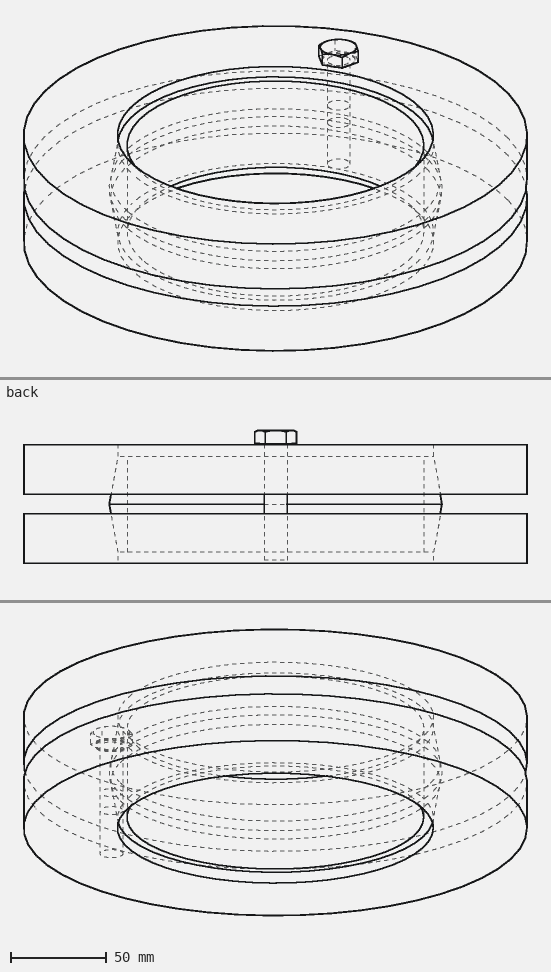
import cadquery as cq
import math


flange_diameter = 263.0
flange_thickness = 26.0
flange_gap = 10.0
flange_mouth_diameter = 165.0

ring_bore_diameter = 155.0
ring_recess = 6.0
ring_middle_diameter = 174.0

bolt_circle_radius = 96.0
shank_diameter = 12.0
shank_length = 60.0
head_height = 7.5
head_across_flats = 19.0
washer_face_diameter = 17.2
washer_face_height = 0.6
head_chamfer_angle = 30.0
head_top_diameter = head_across_flats

upper_flange_bottom = flange_thickness + flange_gap
stack_height = upper_flange_bottom + flange_thickness
ring_middle = stack_height / 2
ring_bottom = ring_recess
ring_top = stack_height - ring_recess
head_across_corners = head_across_flats / math.cos(math.radians(30))


def disc(diameter, height, bottom):
    """Upright cylinder on the ring axis."""
    return cq.Workplane("XY").workplane(offset=bottom).circle(diameter / 2).extrude(height)


def double_cone():
    """Solid double taper: widest at mid-height and as wide as the flange mouths at both ends."""
    mouth_radius = flange_mouth_diameter / 2
    profile = [
        (0, ring_bottom),
        (mouth_radius, ring_bottom),
        (ring_middle_diameter / 2, ring_middle),
        (mouth_radius, ring_top),
        (0, ring_top),
    ]
    return cq.Workplane("XZ").polyline(profile).close().revolve(360, (0, 0), (0, 1))


def bolt_axis(height):
    """Workplane centred on the bolt at the given height."""
    return cq.Workplane("XY").workplane(offset=height).center(0, bolt_circle_radius)


def make_inner_ring():
    return double_cone().cut(disc(ring_bore_diameter, stack_height, 0))


def make_flange(bottom):
    """Disc with a straight mouth, a tapered seat for the inner ring and a hole for the bolt."""
    mouth = disc(flange_mouth_diameter, flange_thickness, bottom)
    flange = disc(flange_diameter, flange_thickness, bottom)
    return flange.cut(mouth).cut(double_cone()).cut(make_shank())


def make_shank():
    return bolt_axis(stack_height - shank_length).circle(shank_diameter / 2).extrude(shank_length)


def make_head():
    """Hex head with corners along X, a round washer face below and chamfered corners on top."""
    hex_height = head_height - washer_face_height
    hex_bottom = stack_height + washer_face_height
    washer_face = bolt_axis(stack_height).circle(washer_face_diameter / 2).extrude(washer_face_height)
    hexagon = bolt_axis(hex_bottom).polygon(6, head_across_corners).extrude(hex_height)
    cone_bottom_radius = head_top_diameter / 2 + hex_height / math.tan(math.radians(head_chamfer_angle))
    corner_trim = cq.Workplane(cq.Solid.makeCone(
        cone_bottom_radius,
        head_top_diameter / 2,
        hex_height,
        pnt=cq.Vector(0, bolt_circle_radius, hex_bottom),
    ))
    return washer_face.union(hexagon.intersect(corner_trim))


def make_bolt():
    return make_shank().union(make_head())


flanges = [make_flange(bottom) for bottom in (0, upper_flange_bottom)]
inner_ring = make_inner_ring()
bolt = make_bolt()

result = cq.Compound.makeCompound([*(flange.val() for flange in flanges), inner_ring.val(), bolt.val()])